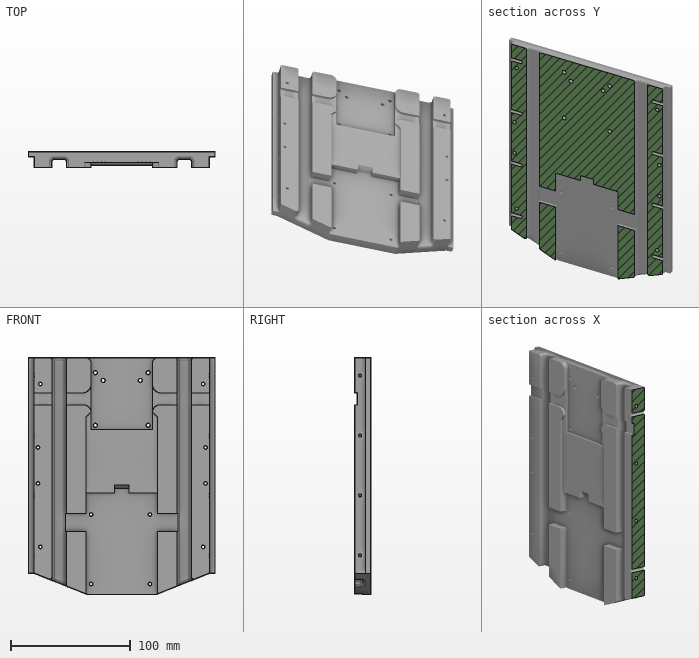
import cadquery as cq
import math

thickness = 13.5
overall_width = 156.0
flange_width = 4.75
flange_thickness = 4.5
flange_length = 180.0
nose_height = 17.78
nose_slope_angle = 21.8
body_half_width = overall_width / 2 - flange_width
nose_half_width = body_half_width - nose_height / math.tan(math.radians(nose_slope_angle))
top_z = flange_length
nose_z = -nose_height

groove_center_x = 52.25
groove_width = 12.0
groove_depth = 7.0
groove_radius = 2.0

pocket_width = 51.0
pocket_length = 60.0
pocket_depth = 4.5
pocket_half_width = pocket_width / 2
pocket_bottom_z = top_z - pocket_length
pocket_mouth_radius = 5.0

shallow_depth = 2.0
recess_half_width = 30.0
recess_top_z = top_z - 45.3
recess_corner = recess_half_width - pocket_half_width
channel_top_z = top_z - 29.5
channel_bottom_z = top_z - 39.4
channel_upper_radius = 7.5
channel_lower_radius = 6.5

deep_depth = 6.5
deep_top_z = top_z - 112.8
window_top_z = top_z - 130.1
window_height = 15.0
window_half_width = 46.9
notch_width = 12.4
notch_top_z = top_z - 106.3
notch_ramp_height = 2.9

motor_hole_diameter = 3.2
motor_hole_spacing = 44.0
motor_hole_top_z = top_z - 12.5
inner_hole_spacing = 31.0
inner_hole_z = top_z - 19.0
board_hole_diameter = 2.7
board_hole_spacing_x = 49.0
board_hole_spacing_z = 58.0
board_center_x = -1.0
board_center_z = top_z - 160.0
strip_hole_diameter = 2.7
strip_holes = ((68.0, 68.0), (70.0, 15.0))
edge_hole_diameter = 2.5
edge_hole_y = 4.5
edge_hole_spacing = 50.0
edge_hole_count = 4
edge_hole_depth = 10.0


def prism(points, depth, start=0.0):
    """Extrude an (X, Z) outline from Y = start toward +Y."""
    return cq.Workplane("XZ", origin=(0, start, 0)).polyline(points).close().extrude(-depth)


def block(x_range, z_range, depth):
    """Box reaching from the front face to the given depth."""
    size_x = x_range[1] - x_range[0]
    size_z = z_range[1] - z_range[0]
    corner = cq.Workplane("XY", origin=(x_range[0], 0, z_range[0]))
    return corner.box(size_x, depth, size_z, centered=False)


def mirrored(points):
    """Complete a right-hand outline with its mirror image across X = 0."""
    return points + [(-x, z) for x, z in reversed(points)]


def make_plate():
    body = prism(
        mirrored([(nose_half_width, nose_z), (body_half_width, 0), (body_half_width, top_z)]),
        thickness,
    )
    flange_half_width = overall_width / 2
    flanges = prism(
        mirrored([(flange_half_width, 0), (flange_half_width, top_z)]),
        flange_thickness,
        thickness - flange_thickness,
    )
    return body.union(flanges)


def cut_grooves(plate):
    half_width = groove_width / 2
    for center_x in (-groove_center_x, groove_center_x):
        groove = block(
            (center_x - half_width, center_x + half_width), (nose_z, top_z), groove_depth
        ).edges("|Z and >Y").fillet(groove_radius)
        plate = plate.cut(groove)
    return plate


def round_groove_ends(plate):
    margin = 0.1
    half_width = groove_width / 2 + margin
    for center_x in (-groove_center_x, groove_center_x):
        for low_z, high_z in ((nose_z, 0), (top_z - margin, top_z + margin)):
            mouth = cq.selectors.BoxSelector(
                (center_x - half_width, -margin, low_z),
                (center_x + half_width, groove_depth + margin, high_z),
            )
            plate = plate.edges(mouth).fillet(groove_radius)
    return plate


def corner_flare(corner_z, radius, direction, depth):
    """Mirrored pair of cuts that round the pocket-side corners of the raised pads.

    The rounded corner starts at corner_z and runs into the pad along direction (+1 up, -1 down).
    """
    inner = pocket_half_width
    middle = radius * (1 - math.sqrt(0.5))
    right = (
        cq.Workplane("XZ")
        .moveTo(inner, corner_z)
        .lineTo(inner + radius, corner_z)
        .threePointArc(
            (inner + middle, corner_z + direction * middle),
            (inner, corner_z + direction * radius),
        )
        .close()
        .extrude(-depth)
    )
    return right.union(right.mirror("YZ"))


def cut_motor_pocket(plate):
    pocket = block((-pocket_half_width, pocket_half_width), (pocket_bottom_z, top_z), pocket_depth)
    mouth = corner_flare(top_z, pocket_mouth_radius, -1, pocket_depth)
    return plate.cut(pocket).cut(mouth)


def cut_shallow_recess(plate):
    channel = block(
        (-body_half_width, body_half_width), (channel_bottom_z, channel_top_z), shallow_depth
    )
    upper_flare = corner_flare(channel_top_z, channel_upper_radius, 1, shallow_depth)
    lower_flare = corner_flare(channel_bottom_z, channel_lower_radius, -1, shallow_depth)
    recess = prism(
        mirrored([
            (recess_half_width, deep_top_z),
            (recess_half_width, recess_top_z - recess_corner),
            (pocket_half_width, recess_top_z),
        ]),
        shallow_depth,
    )
    return plate.cut(channel).cut(upper_flare).cut(lower_flare).cut(recess)


def cut_deep_recess(plate):
    recess = block((-recess_half_width, recess_half_width), (nose_z, deep_top_z), deep_depth)
    windows = block(
        (-window_half_width, window_half_width),
        (window_top_z - window_height, window_top_z),
        deep_depth,
    )
    notch = (
        cq.Workplane("YZ", origin=(-notch_width / 2, 0, 0))
        .moveTo(shallow_depth, notch_top_z)
        .lineTo(deep_depth, notch_top_z - notch_ramp_height)
        .lineTo(deep_depth, deep_top_z)
        .lineTo(shallow_depth, deep_top_z)
        .close()
        .extrude(notch_width)
    )
    return plate.cut(recess).cut(windows).cut(notch)


def drill_through(plate, positions, diameter):
    """Drill holes through the thickness at (X, Z) positions."""
    drills = cq.Workplane("XZ").pushPoints(positions).circle(diameter / 2).extrude(-thickness)
    return plate.cut(drills)


def drill_face_holes(plate):
    motor_x = motor_hole_spacing / 2
    motor_rows = (motor_hole_top_z, motor_hole_top_z - motor_hole_spacing)
    motor_positions = [(x, z) for x in (-motor_x, motor_x) for z in motor_rows]
    motor_positions += [(x, inner_hole_z) for x in (-inner_hole_spacing / 2, inner_hole_spacing / 2)]
    plate = drill_through(plate, motor_positions, motor_hole_diameter)

    board_x = board_hole_spacing_x / 2
    board_z = board_hole_spacing_z / 2
    board_positions = [
        (board_center_x + x, board_center_z + z) for x in (-board_x, board_x) for z in (-board_z, board_z)
    ]
    plate = drill_through(plate, board_positions, board_hole_diameter)

    strip_positions = [
        (side * x, flange_length / 2 + end * offset)
        for x, offset in strip_holes
        for side in (-1, 1)
        for end in (-1, 1)
    ]
    return drill_through(plate, strip_positions, strip_hole_diameter)


def drill_edge_holes(plate):
    first_z = (flange_length - (edge_hole_count - 1) * edge_hole_spacing) / 2
    positions = [(edge_hole_y, first_z + index * edge_hole_spacing) for index in range(edge_hole_count)]
    drills = (
        cq.Workplane("YZ", origin=(-body_half_width, 0, 0))
        .pushPoints(positions)
        .circle(edge_hole_diameter / 2)
        .extrude(edge_hole_depth)
    )
    return plate.cut(drills).cut(drills.mirror("YZ"))


plate = make_plate()
plate = cut_grooves(plate)
plate = round_groove_ends(plate)
plate = cut_motor_pocket(plate)
plate = cut_shallow_recess(plate)
plate = cut_deep_recess(plate)
plate = drill_face_holes(plate)
result = drill_edge_holes(plate)